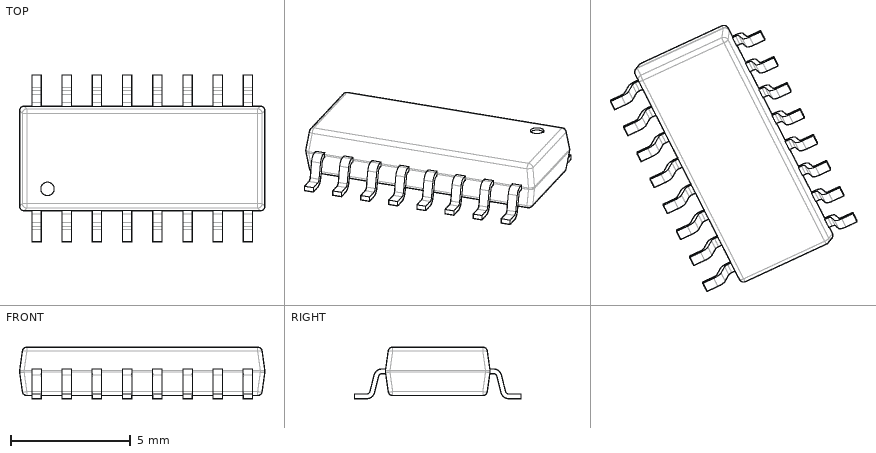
import cadquery as cq
import math

body_length = 10.3
body_width = 4.4
body_bottom = 0.13
body_top = 2.17
belt_height = 0.06
draft_angle = 8.0
edge_radius = 0.2

marker_diameter = 0.57
marker_depth = 0.1
marker_x = -3.98
marker_y = -1.28

leads_per_side = 8
lead_pitch = 1.27
lead_width = 0.4
lead_thickness = 0.21
lead_span = 7.0
shoulder_end = 2.34
inner_bend_radius = 0.14
leg_angle = 76.0
lead_embed = 0.31

belt_center = (body_bottom + body_top) / 2
half_height = (body_top - body_bottom - belt_height) / 2


def make_body():
    """Belt with a drafted block above and below it, all edges rounded except along the belt."""
    belt = cq.Workplane("XY").box(body_length, body_width, belt_height)
    upper = belt.faces(">Z").workplane().rect(body_length, body_width).extrude(half_height, taper=draft_angle)
    body = upper.faces("<Z").workplane().rect(body_length, body_width).extrude(half_height, taper=draft_angle)
    body = body.translate((0, 0, belt_center))
    corner_edges = body.edges("not(#Z)")
    outer_rims = body.faces("<Z or >Z").edges()
    return body.newObject(corner_edges.vals() + outer_rims.vals()).fillet(edge_radius)


def make_lead():
    """One S-shaped lead centred on X = 0 that points toward +Y and rests on Z = 0."""
    outer_bend_radius = inner_bend_radius + lead_thickness
    angle = math.radians(leg_angle)
    shoulder_top = belt_center + lead_thickness / 2
    shoulder_bottom = shoulder_top - lead_thickness

    bend_drop = (inner_bend_radius + outer_bend_radius) * (1 - math.cos(angle))
    leg_length = (shoulder_bottom - bend_drop) / math.sin(angle)
    bend_run = (inner_bend_radius + outer_bend_radius) * math.sin(angle)
    foot_start = shoulder_end + bend_run + leg_length * math.cos(angle)

    upper_center_z = shoulder_top - outer_bend_radius
    lower_center_z = outer_bend_radius

    def upper_bend(radius, turn):
        return (shoulder_end + radius * math.sin(turn), upper_center_z + radius * math.cos(turn))

    def lower_bend(radius, turn):
        return (foot_start - radius * math.sin(turn), lower_center_z - radius * math.cos(turn))

    root = body_width / 2 - lead_embed
    toe = lead_span / 2
    profile = (
        cq.Workplane("YZ")
        .moveTo(root, shoulder_top)
        .lineTo(shoulder_end, shoulder_top)
        .threePointArc(upper_bend(outer_bend_radius, angle / 2), upper_bend(outer_bend_radius, angle))
        .lineTo(*lower_bend(inner_bend_radius, angle))
        .threePointArc(lower_bend(inner_bend_radius, angle / 2), lower_bend(inner_bend_radius, 0))
        .lineTo(toe, lead_thickness)
        .lineTo(toe, 0)
        .lineTo(foot_start, 0)
        .threePointArc(lower_bend(outer_bend_radius, angle / 2), lower_bend(outer_bend_radius, angle))
        .lineTo(*upper_bend(inner_bend_radius, angle))
        .threePointArc(upper_bend(inner_bend_radius, angle / 2), upper_bend(inner_bend_radius, 0))
        .lineTo(root, shoulder_bottom)
        .close()
    )
    return profile.extrude(lead_width / 2, both=True)


def make_marker():
    """Shallow round recess cutter reaching down from the top face."""
    return (
        cq.Workplane("XY")
        .workplane(offset=body_top - marker_depth)
        .center(marker_x, marker_y)
        .circle(marker_diameter / 2)
        .extrude(marker_depth)
    )


result = make_body().cut(make_marker())

back_lead = make_lead()
front_lead = back_lead.mirror("XZ")
for index in range(leads_per_side):
    lead_x = (index - (leads_per_side - 1) / 2) * lead_pitch
    for lead in (back_lead, front_lead):
        result = result.union(lead.translate((lead_x, 0, 0)))